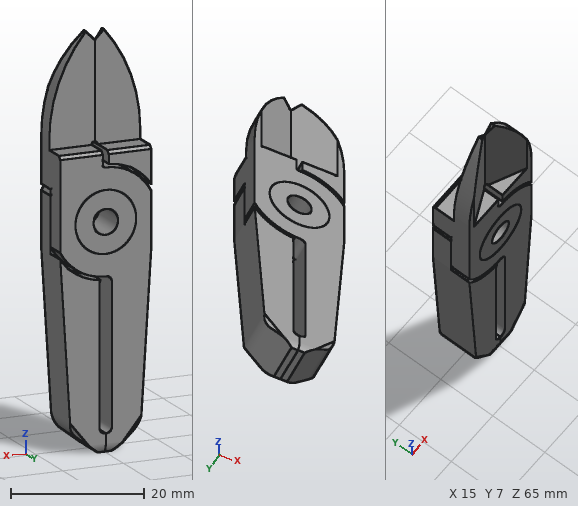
import cadquery as cq
import math


width = 15.0
thickness = 7.0
tip_z = 28.9
bottom_z = tip_z - 65
half_width = width / 2
half_thickness = thickness / 2

bushing_radius = 5.0
bore_radius = 2.0
lap_radius = 8.5
recess_radius = 9.05

tip_x = 1.5
notch_z = tip_z - tip_x
jaw_curve_radius = 25.0
jaw_base_z = 11.05
jaw_back_y = -0.5
bevel_half_width = 6.4
shoulder_chamfer = 0.5

taper_start_z = -math.sqrt(recess_radius**2 - half_width**2)
heel_x = 5.8
heel_z = -32.45
heel_radius = 3.25
bottom_half_width = 1.1
heel_bevel_top_x = 5.85
heel_bevel_top_z = -30.95
heel_bevel_low_x = 2.8
bottom_round_z = -34.7
heel_bevel_run = 1.3
heel_bevel_depth = 0.9
bottom_relief = 0.49

jaw_slot_width = 1.0
jaw_slot_top_z = 11.5
handle_slot_width = 2.1
handle_slot_bottom_z = -33.1

reach = 78


def cylinder(radius):
    """Full-thickness cylinder on the pivot axis."""
    return cq.Workplane("XZ").circle(radius).extrude(half_thickness, both=True)


def tool_blank():
    """Outline of both levers together, at full thickness."""
    drop = jaw_curve_radius**2 - (jaw_curve_radius - half_width + tip_x) ** 2
    curve_start_z = tip_z - math.sqrt(drop)
    curve_center_x = half_width - jaw_curve_radius
    mid_z = (curve_start_z + tip_z) / 2
    mid_x = curve_center_x + math.sqrt(jaw_curve_radius**2 - (mid_z - curve_start_z) ** 2)
    blank = (
        cq.Workplane("XZ")
        .moveTo(0, notch_z)
        .lineTo(tip_x, tip_z)
        .threePointArc((mid_x, mid_z), (half_width, curve_start_z))
        .lineTo(half_width, taper_start_z)
        .lineTo(heel_x, heel_z)
        .lineTo(bottom_half_width, bottom_z)
        .lineTo(-bottom_half_width, bottom_z)
        .lineTo(-heel_x, heel_z)
        .lineTo(-half_width, taper_start_z)
        .lineTo(-half_width, curve_start_z)
        .threePointArc((-mid_x, mid_z), (-tip_x, tip_z))
        .close()
        .extrude(half_thickness, both=True)
    )
    for side in (-1, 1):
        heel = cq.selectors.NearestToPointSelector((side * heel_x, 0, heel_z))
        blank = blank.edges(heel).fillet(heel_radius)
    return blank


def jaw_back_cut():
    """Space behind the thin jaws, with the chamfer on the shoulder below them."""
    return (
        cq.Workplane("YZ")
        .moveTo(jaw_back_y, tip_z)
        .lineTo(jaw_back_y, jaw_base_z)
        .lineTo(half_thickness - shoulder_chamfer, jaw_base_z)
        .lineTo(half_thickness, jaw_base_z - shoulder_chamfer)
        .lineTo(half_thickness, tip_z)
        .close()
        .extrude(width, both=True)
    )


def jaw_bevel_cut():
    """V-shaped relief that brings the jaws to cutting edges at their back plane."""
    return (
        cq.Workplane("XY", origin=(0, 0, jaw_base_z))
        .moveTo(-bevel_half_width, -half_thickness)
        .lineTo(0, jaw_back_y)
        .lineTo(bevel_half_width, -half_thickness)
        .close()
        .extrude(tip_z - jaw_base_z)
    )


def slot_cut(slot_width, low_z, high_z):
    """Round-ended through slot along Z."""
    return (
        cq.Workplane("XZ", origin=(0, 0, (low_z + high_z) / 2))
        .slot2D(high_z - low_z, slot_width, 90)
        .extrude(half_thickness, both=True)
    )


def bottom_round_cut():
    """Rounds the front edge of the bottom end, tangent to the front face."""
    rise = bottom_round_z - bottom_z
    round_radius = (rise**2 + bottom_relief**2) / (2 * bottom_relief)
    return (
        cq.Workplane("YZ")
        .moveTo(-half_thickness, bottom_round_z)
        .radiusArc((-half_thickness + bottom_relief, bottom_z), -round_radius)
        .lineTo(-half_thickness, bottom_z)
        .close()
        .extrude(width, both=True)
    )


def heel_bevel_cut():
    """Flat bevel across the front corner of the right-hand heel."""
    line_x = heel_bevel_top_x - heel_bevel_low_x
    line_z = heel_bevel_top_z - bottom_round_z
    along = cq.Vector(line_x, 0, line_z)
    plane = cq.Plane(
        origin=(heel_bevel_low_x, -half_thickness, bottom_round_z),
        xDir=(line_z, 0, -line_x),
        normal=along,
    )
    span = along.Length
    return (
        cq.Workplane(plane)
        .polyline([(0, 0), (heel_bevel_run, 0), (heel_bevel_run, heel_bevel_depth)])
        .close()
        .extrude(span * 2, both=True)
    )


def tool_envelope():
    """Both levers as one shape, before they are divided."""
    envelope = (
        tool_blank()
        .cut(jaw_back_cut())
        .cut(jaw_bevel_cut())
        .cut(slot_cut(jaw_slot_width, lap_radius, jaw_slot_top_z))
        .cut(slot_cut(handle_slot_width, handle_slot_bottom_z, -lap_radius))
        .cut(cylinder(bushing_radius))
    )
    front_cuts = [bottom_round_cut(), heel_bevel_cut(), heel_bevel_cut().mirror("YZ")]
    for cut in front_cuts:
        envelope = envelope.cut(cut).cut(cut.mirror("XZ"))
    return envelope


def lever_region():
    """Space of the lever with the left jaw, the front lap and the right handle."""
    size = (reach, thickness, reach)
    left_jaw = cq.Workplane("XY").box(*size).translate((-reach / 2, 0, reach / 2))
    right_handle = cq.Workplane("XY").box(*size).translate((reach / 2, 0, -reach / 2))
    front_lap = cq.Workplane("XZ").circle(lap_radius).extrude(half_thickness)
    back_recess = cq.Workplane("XZ").circle(recess_radius).extrude(-half_thickness)
    return left_jaw.cut(back_recess).union(right_handle.cut(back_recess)).union(front_lap)


def make_lever(turn):
    """One lever; a half turn about Z gives the space of its opposite."""
    region = lever_region().rotate((0, 0, 0), (0, 0, 1), turn)
    return tool_envelope().intersect(region).solids()


def make_bushing():
    """Pivot bushing, flush with both faces of the levers."""
    return cylinder(bushing_radius).cut(cylinder(bore_radius))


levers = [make_lever(turn) for turn in (0, 180)]
bushing = make_bushing()

result = cq.Compound.makeCompound([*(lever.val() for lever in levers), bushing.val()])